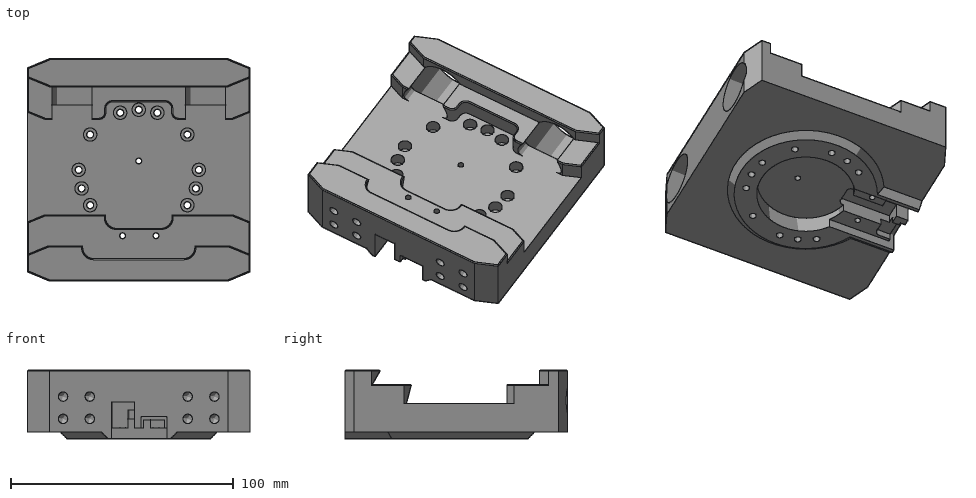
import cadquery as cq
import math

width = 100.0
depth = 100.0
height = 31.0
half_width = width / 2
half_depth = depth / 2
corner_run = 10.0
bevel_angle = 22.5
bevel_slope = math.tan(math.radians(bevel_angle))
edge_chamfer = 0.5
passage_center = 0.25
over = 1.0

body_bottom = 3.0
floor_top = 16.0
ledge_top = 24.5

rear_rail_edge = 37.3
rear_ledge_edge = 22.7
rear_ledge_bevel_run = 7.8
rear_notch_half_width = 14.8
rear_notch_back = 30.6
rear_notch_radius = 3.0

bore_x = 30.0
bore_diameter = 23.1
bore_front = 29.2
bore_opening = 18.0
bore_floor_radius = 2.5
bore_z = ledge_top - math.sqrt((bore_diameter / 2) ** 2 - (bore_opening / 2) ** 2)

front_rail_edge = -34.2
front_rail_bevel_run = 9.2
front_rail_undercut = 30.0
front_rail_notch_half_width = 25.2
front_rail_notch_back = -39.9
front_ledge_edge = -20.2
front_ledge_bevel_run = 7.8
front_ledge_undercut = 15.0
front_ledge_notch_half_width = 15.0
front_ledge_notch_back = -26.3
front_notch_radius = 5.0

bolt_circle_radius = 27.0
bolt_angles = (-36, -18, 0, 36, 72, 90, 108, 144, 180, 198, 216)
bolt_diameter = 3.0
bolt_head_diameter = 6.0
bolt_head_depth = 6.0
pin_diameter = 2.5
center_pin_y = 4.0
ledge_pin_y = -29.6
ledge_pin_offset = 7.5
pin_points = (
    (0, center_pin_y),
    (passage_center - ledge_pin_offset, ledge_pin_y),
    (passage_center + ledge_pin_offset, ledge_pin_y),
)

front_hole_diameter = 4.2
front_hole_depth = 10.0
drill_half_angle = 59.0
front_hole_point_depth = front_hole_diameter / 2 / math.tan(math.radians(drill_half_angle))
front_hole_x = (-34.0, -22.0, 22.0, 34.0)
front_hole_z = (9.0, 19.0)

boss_radius = 32.2
boss_flare = 3.0
boss_tongue_half_width = 14.0
recess_radius = 22.0
recess_top = 9.0

passage_half_width = 12.5
passage_top = 5.0
passage_radius = 2.0
cavity_right = -2.25
cavity_back = -36.0
cavity_top = 16.5
channel_half_width = 5.1
channel_front = -44.2
channel_back = -19.0
channel_top = 13.0
window_left = 0.7
window_back = -47.6
window_top = 10.0
window_radius = 0.5
socket_margin = 1.2
socket_back = -40.0
socket_top = 8.5


def box(x0, x1, y0, y1, z0, z1):
    """Axis-aligned block between two opposite corners."""
    return cq.Workplane("XY").box(x1 - x0, y1 - y0, z1 - z0, centered=False).translate((x0, y0, z0))


def bar(y0, y1, run0, run1):
    """Plan spanning the full width from y0 to y1, with its corners bevelled."""
    x = half_width
    points = [
        (-x, y0 + run0 * bevel_slope), (-x + run0, y0), (x - run0, y0), (x, y0 + run0 * bevel_slope),
        (x, y1 - run1 * bevel_slope), (x - run1, y1), (-x + run1, y1), (-x, y1 - run1 * bevel_slope),
    ]
    return cq.Workplane("XY").polyline(points).close()


def rise(plan, top):
    """Extrude a plan from the body bottom to the given level."""
    return plan.extrude(top - body_bottom).translate((0, 0, body_bottom))


def chamfer_top(solid):
    return solid.faces(">Z").edges().chamfer(edge_chamfer)


def undercut(edge, top, base, angle):
    """Wedge below the chamfer of an inner face at y = edge, leaning toward the front."""
    start = top - edge_chamfer
    shift = (start - base) * math.tan(math.radians(angle))
    wedge = cq.Workplane("YZ").polyline([(edge, start), (edge, base), (edge - shift, base)]).close()
    return wedge.extrude(half_width + over, both=True)


def front_step(edge, run, top, base, angle, notch_half_width, notch_back):
    """Front rail or ledge: bevelled bar with a rounded notch and an undercut inner face."""
    step = rise(bar(-half_depth, edge, corner_run, run), top)
    notch = box(-notch_half_width, notch_half_width, notch_back, edge + over, base, height + over)
    notch = notch.edges("|Z and <Y").fillet(front_notch_radius)
    return chamfer_top(step.cut(notch)).cut(undercut(edge, top, base, angle))


def rear_ledge():
    ledge = rise(bar(rear_ledge_edge, half_depth, rear_ledge_bevel_run, corner_run), ledge_top)
    notch = box(-rear_notch_half_width, rear_notch_half_width, rear_ledge_edge - over, rear_notch_back,
                floor_top, height)
    ledge = ledge.cut(notch.edges("|Z and >Y").fillet(rear_notch_radius))
    mouth = cq.selectors.BoxSelector(
        (-rear_notch_half_width - over, rear_ledge_edge - over, floor_top),
        (rear_notch_half_width + over, rear_ledge_edge + over, height),
    )
    ledge = ledge.edges("|Z").edges(mouth).fillet(rear_notch_radius)
    return chamfer_top(ledge)


def boss():
    """Flared disc under the body with a tongue of the same flare running to the front face."""
    disc = cq.Workplane("XZ").polyline([
        (0, 0), (boss_radius, 0), (boss_radius + boss_flare, body_bottom), (0, body_bottom),
    ]).close().revolve(360, (0, 0), (0, 1))
    foot = boss_tongue_half_width
    root = foot + boss_flare
    tongue = cq.Workplane("XZ").polyline([
        (-foot, 0), (foot, 0), (root, body_bottom), (-root, body_bottom),
    ]).close().extrude(half_depth)
    return disc.union(tongue.translate((passage_center, 0, 0)))


def bore_cylinder(y0, y1):
    """Cylinder along Y at the bore height."""
    return cq.Workplane("XZ", origin=(0, y0, bore_z)).circle(bore_diameter / 2).extrude(y0 - y1)


def bores():
    """Two cylinder seats open through the rear face; in front of each the floor stays, with rounded sides."""
    mouth_front = rear_ledge_edge - over
    front = bore_cylinder(mouth_front, bore_front)
    floor = box(-bore_diameter, bore_diameter, mouth_front - over, bore_front + over, 0, floor_top)
    mouth = front.cut(floor).faces("<Z").edges("|Y").fillet(bore_floor_radius)
    cutter = bore_cylinder(mouth_front, half_depth + over).cut(front.cut(mouth))
    return cutter.translate((-bore_x, 0, 0)).union(cutter.translate((bore_x, 0, 0)))


def bolt_holes():
    points = [
        (bolt_circle_radius * math.cos(math.radians(a)), bolt_circle_radius * math.sin(math.radians(a)))
        for a in bolt_angles
    ]
    shanks = cq.Workplane("XY").pushPoints(points).circle(bolt_diameter / 2).extrude(floor_top)
    heads = cq.Workplane("XY", origin=(0, 0, floor_top)).pushPoints(points)
    heads = heads.circle(bolt_head_diameter / 2).extrude(-bolt_head_depth)
    return shanks.union(heads)


def pin_holes():
    return cq.Workplane("XY").pushPoints(pin_points).circle(pin_diameter / 2).extrude(height)


def front_holes():
    """Blind holes with a drill point, bored inward from the front face."""
    radius = front_hole_diameter / 2
    drill = cq.Workplane("XY").polyline([
        (0, 0), (radius, 0), (radius, front_hole_depth), (0, front_hole_depth + front_hole_point_depth),
    ]).close().revolve(360, (0, 0), (0, 1))
    cutter = cq.Workplane("XY")
    for x in front_hole_x:
        for z in front_hole_z:
            cutter = cutter.add(drill.translate((x, -half_depth, z)))
    return cutter.combine()


def cable_passages():
    """Round recess in the underside and the stepped passages that reach it from the front face."""
    front = -half_depth - over
    recess = cq.Workplane("XY").circle(recess_radius).extrude(recess_top)
    passage = box(-passage_half_width, passage_half_width, front, 0, 0, passage_top)
    cavity = box(-passage_half_width, cavity_right, front, cavity_back, 0, cavity_top)
    cavity = cavity.edges("|Z and >Y").fillet(passage_radius)
    channel = box(-channel_half_width, channel_half_width, channel_front, channel_back, 0, channel_top)
    channel = channel.edges("|Z and >Y").fillet(passage_radius)
    window = box(window_left, passage_half_width, front, window_back, 0, window_top)
    window = window.edges("|Y and >Z").fillet(window_radius)
    socket = box(window_left + socket_margin, passage_half_width - socket_margin,
                 front, socket_back, 0, socket_top)
    socket = socket.edges("|Z and >Y and >X").fillet(passage_radius)
    passages = passage.union(cavity).union(channel).union(window).union(socket)
    return recess.union(passages.translate((passage_center, 0, 0)))


body = rise(bar(-half_depth, half_depth, corner_run, corner_run), floor_top)
rear_rail = chamfer_top(rise(bar(rear_rail_edge, half_depth, corner_run, corner_run), height))
front_ledge = front_step(front_ledge_edge, front_ledge_bevel_run, ledge_top, floor_top,
                         front_ledge_undercut, front_ledge_notch_half_width, front_ledge_notch_back)
front_rail = front_step(front_rail_edge, front_rail_bevel_run, height, ledge_top,
                        front_rail_undercut, front_rail_notch_half_width, front_rail_notch_back)

result = body.union(rear_ledge()).union(rear_rail).union(front_ledge).union(front_rail).union(boss())
result = result.cut(bores()).cut(bolt_holes()).cut(pin_holes())
result = result.cut(front_holes()).cut(cable_passages())